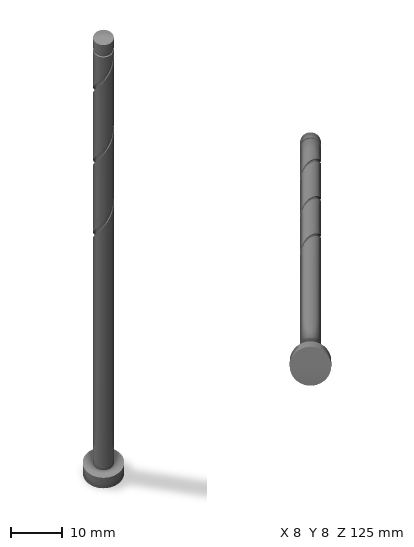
import cadquery as cq
import math

TOTAL_LENGTH = 125.0
HEAD_DIAMETER = 8.0
HEAD_HEIGHT = 3.0
SHAFT_DIAMETER = 4.0

GROOVE_WIDTH = 0.8
GROOVE_DEPTH = 0.2
TIP_TO_RING_CENTRE = 3.1
HELIX_HEIGHT = 62.5
HELIX_TURNS = 3
CUT_CLEARANCE = 0.2

shaft_radius = SHAFT_DIAMETER / 2
ring_z = TOTAL_LENGTH - TIP_TO_RING_CENTRE
helix_top_z = ring_z - GROOVE_WIDTH / 2
helix_base_z = helix_top_z - HELIX_HEIGHT
helix_pitch = HELIX_HEIGHT / HELIX_TURNS


def pin_blank():
    head = cq.Workplane("XY").circle(HEAD_DIAMETER / 2).extrude(HEAD_HEIGHT)
    shaft = cq.Workplane("XY").circle(shaft_radius).extrude(TOTAL_LENGTH)
    return head.union(shaft)


def ring_cutter():
    return (
        cq.Workplane("XY")
        .workplane(offset=ring_z - GROOVE_WIDTH / 2)
        .circle(shaft_radius + CUT_CLEARANCE)
        .circle(shaft_radius - GROOVE_DEPTH)
        .extrude(GROOVE_WIDTH)
    )


def helix_cutter():
    """Rectangular section swept along a right-handed helix starting on the +Y side."""
    path = cq.Wire.makeHelix(helix_pitch, HELIX_HEIGHT, shaft_radius)
    section_plane = cq.Plane(
        origin=(shaft_radius, 0, 0),
        xDir=(1, 0, 0),
        normal=(0, 2 * math.pi * shaft_radius, helix_pitch),
    )
    section_centre = (CUT_CLEARANCE - GROOVE_DEPTH) / 2
    cutter = (
        cq.Workplane(section_plane)
        .center(section_centre, 0)
        .rect(GROOVE_DEPTH + CUT_CLEARANCE, GROOVE_WIDTH)
        .sweep(cq.Workplane(path), isFrenet=True)
    )
    return cutter.rotate((0, 0, 0), (0, 0, 1), 90).translate((0, 0, helix_base_z))


result = pin_blank().cut(ring_cutter()).cut(helix_cutter())